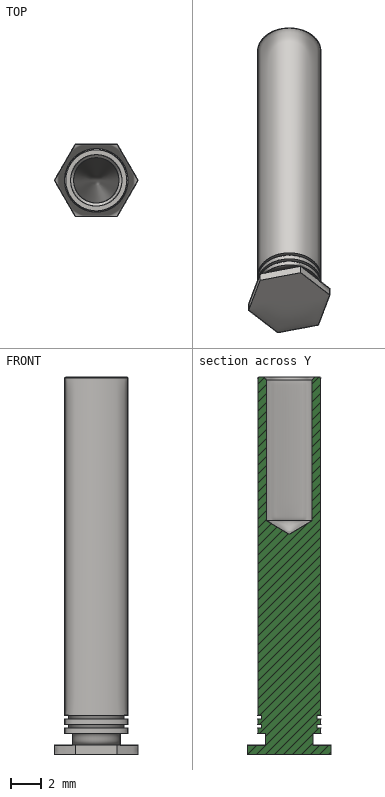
import cadquery as cq
import math

total_length = 25.0
hex_across_flats = 4.8
head_height = 0.64

body_diameter = 4.2
neck_diameter = 3.18
neck_length = 0.76
groove_floor_diameter = 3.69
groove_width = 0.22
ring_height = 0.38
groove_count = 2
rim_chamfer = 0.08

bore_diameter = 3.0
bore_depth = 9.5
drill_point_angle = 118.0
countersink_diameter = 3.4
countersink_angle = 90.0

hex_across_corners = hex_across_flats / math.cos(math.radians(30))
body_start = head_height + neck_length
body_length = total_length - body_start


def cone_height(diameter_change, included_angle):
    """Axial length of a cone whose diameter changes by the given amount."""
    return diameter_change / 2 / math.tan(math.radians(included_angle / 2))


def make_cylinder(diameter, height, start):
    """Cylinder on the Z axis, rising from the start height."""
    return cq.Workplane("XY").workplane(offset=start).circle(diameter / 2).extrude(height)


def make_head():
    """Hexagonal head with two corners on the X axis."""
    return cq.Workplane("XY").polygon(6, hex_across_corners).extrude(head_height)


def make_body():
    """Long round body with a chamfered top rim."""
    body = make_cylinder(body_diameter, body_length, body_start)
    return body.faces(">Z").edges().chamfer(rim_chamfer)


def make_groove(start):
    """Square ring that cuts one groove around the body."""
    outside = make_cylinder(body_diameter, groove_width, start)
    return outside.cut(make_cylinder(groove_floor_diameter, groove_width, start))


def make_bore():
    """Revolved bore: countersunk mouth, straight wall and conical drill point."""
    bore_radius = bore_diameter / 2
    mouth_radius = countersink_diameter / 2
    mouth_bottom = total_length - cone_height(countersink_diameter - bore_diameter, countersink_angle)
    wall_bottom = total_length - bore_depth
    point_tip = wall_bottom - cone_height(bore_diameter, drill_point_angle)
    profile = (
        cq.Workplane("XZ")
        .moveTo(0, point_tip)
        .lineTo(bore_radius, wall_bottom)
        .lineTo(bore_radius, mouth_bottom)
        .lineTo(mouth_radius, total_length)
        .lineTo(0, total_length)
        .close()
    )
    return profile.revolve(360, (0, 0, 0), (0, 1, 0))


result = make_head()
result = result.union(make_cylinder(neck_diameter, neck_length, head_height))
result = result.union(make_body())

for index in range(groove_count):
    groove_start = body_start + ring_height + index * (ring_height + groove_width)
    result = result.cut(make_groove(groove_start))

result = result.cut(make_bore())